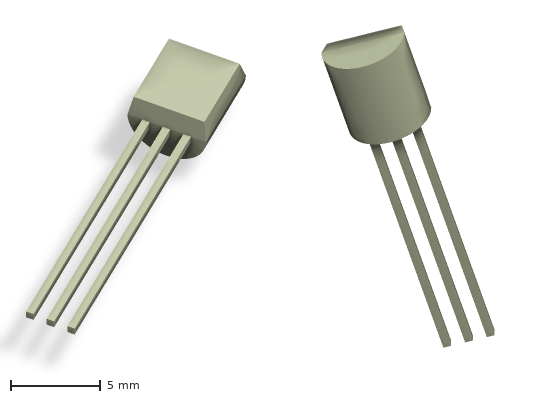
import cadquery as cq

overall_length = 20.83

housing_width = 4.83
housing_length = 5.35
belly_radius = housing_width / 2
cap_height = 1.27
cap_side_inset = 0.23
cap_end_inset = 0.33

lead_count = 3
lead_pitch = 1.27
lead_width = 0.45
lead_height = 0.5
lead_length = overall_length - housing_length


def make_housing():
    """Half-round belly joined to a tapered cap, front face at Y = 0."""
    belly = (
        cq.Workplane("XZ")
        .moveTo(-belly_radius, 0)
        .threePointArc((0, -belly_radius), (belly_radius, 0))
        .close()
        .extrude(-housing_length)
    )
    cap = (
        cq.Workplane("XY")
        .center(0, housing_length / 2)
        .rect(housing_width, housing_length)
        .workplane(offset=cap_height)
        .rect(housing_width - 2 * cap_side_inset, housing_length - 2 * cap_end_inset)
        .loft(ruled=True)
    )
    return belly.union(cap)


def make_lead(center_x):
    """Straight lead butting against the front face of the housing."""
    return (
        cq.Workplane("XY")
        .box(lead_width, lead_length, lead_height)
        .translate((center_x, -lead_length / 2, -lead_height / 2))
    )


housing = make_housing()

leads = []
for index in range(lead_count):
    center_x = (index - (lead_count - 1) / 2) * lead_pitch
    leads.append(make_lead(center_x))

result = cq.Compound.makeCompound([housing.val(), *[lead.val() for lead in leads]])